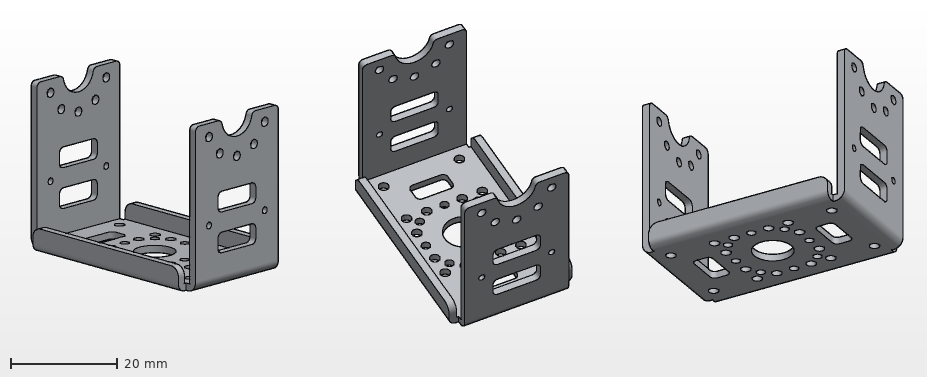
import cadquery as cq

length = 44.0
width = 26.0
height = 32.5

base_thickness = 1.45
wall_thickness = 1.6
arm_bend_radius = 2.0
flange_bend_radius = 1.5

arm_width = 22.0
arm_corner_radius = 1.0
notch_radius = 4.0
notch_lip_radius = 1.0
arm_hole_diameter = 1.75
arm_hole_spread = 7.4
arm_upper_hole_z = 29.85
arm_middle_hole_y = 4.55
arm_middle_hole_z = 26.05
arm_centre_hole_z = 24.65
pin_hole_diameter = 1.28
pin_hole_z = 12.5
arm_window_width = 10.0
arm_window_height = 4.05
arm_window_levels = (8.5, 16.5)
window_corner_radius = 1.0

flange_length = 39.0
flange_height = 4.85
flange_corner_radius = 2.0

centre_hole_diameter = 8.0
mount_hole_diameter = 2.0
small_hole_diameter = 1.75
hole_grid = 8.0
side_hole_offset = 3.75
diagonal_hole_offset = 6.15
end_hole_x = 17.5
base_window_x = 13.35
base_window_length = 4.05
base_window_width = 7.88


def channel(plane, axis, span, rise, bend_radius, depth):
    """U-shaped channel open upward, running along axis, with rounded outer bends and sharp inner corners."""
    outer = cq.Workplane(plane).center(0, rise / 2).rect(span, rise).extrude(depth / 2, both=True)
    outer = outer.faces("<Z").edges("|" + axis).fillet(bend_radius)
    cavity_height = rise - base_thickness
    cavity = (
        cq.Workplane(plane)
        .center(0, base_thickness + cavity_height / 2)
        .rect(span - 2 * wall_thickness, cavity_height)
        .extrude(depth / 2, both=True)
    )
    return outer.cut(cavity)


def mirrored(x, y):
    """The point and its mirror images across both axes, without repeats."""
    return sorted({(sx * x, sy * y) for sx in (1, -1) for sy in (1, -1)})


def cut_through_arms(sketch):
    """Extrude outlines on the YZ plane into a tool that passes through both arms."""
    return sketch.extrude(length, both=True)


arms = channel("XZ", "Y", length, height, arm_bend_radius, arm_width)
arms = arms.edges("|X and >Z").edges("<Y or >Y").fillet(arm_corner_radius)

notch = cut_through_arms(cq.Workplane("YZ").center(0, height).circle(notch_radius))
arms = arms.cut(notch)
lip_zone = cq.selectors.BoxSelector(
    (-length, -arm_width / 4, height - notch_radius / 2),
    (length, arm_width / 4, height + notch_radius / 2),
)
arms = arms.edges("|X").edges(lip_zone).fillet(notch_lip_radius)

flanges = channel("YZ", "X", width, flange_height, flange_bend_radius, flange_length)
flanges = flanges.edges("|Y and >Z").fillet(flange_corner_radius)

bracket = arms.union(flanges)

arm_hole_points = [(0, arm_centre_hole_z)]
for side in (1, -1):
    arm_hole_points.append((side * arm_hole_spread, arm_upper_hole_z))
    arm_hole_points.append((side * arm_middle_hole_y, arm_middle_hole_z))
pin_hole_points = [(side * arm_hole_spread, pin_hole_z) for side in (1, -1)]

arm_holes = cut_through_arms(cq.Workplane("YZ").pushPoints(arm_hole_points).circle(arm_hole_diameter / 2))
pin_holes = cut_through_arms(cq.Workplane("YZ").pushPoints(pin_hole_points).circle(pin_hole_diameter / 2))
arm_windows = cut_through_arms(
    cq.Workplane("YZ")
    .pushPoints([(0, level) for level in arm_window_levels])
    .rect(arm_window_width, arm_window_height)
).edges("|X").fillet(window_corner_radius)

mount_hole_points = (
    mirrored(hole_grid, hole_grid)
    + mirrored(end_hole_x, hole_grid)
    + mirrored(side_hole_offset, hole_grid)
    + mirrored(hole_grid, side_hole_offset)
)
small_hole_points = (
    mirrored(diagonal_hole_offset, diagonal_hole_offset)
    + mirrored(hole_grid, 0)
    + mirrored(0, hole_grid)
)
base_plane = cq.Workplane("XY")
centre_hole = base_plane.circle(centre_hole_diameter / 2).extrude(base_thickness)
mount_holes = base_plane.pushPoints(mount_hole_points).circle(mount_hole_diameter / 2).extrude(base_thickness)
small_holes = base_plane.pushPoints(small_hole_points).circle(small_hole_diameter / 2).extrude(base_thickness)
base_windows = (
    base_plane.pushPoints(mirrored(base_window_x, 0))
    .rect(base_window_length, base_window_width)
    .extrude(base_thickness)
    .edges("|Z")
    .fillet(window_corner_radius)
)

for opening in (arm_holes, pin_holes, arm_windows, centre_hole, mount_holes, small_holes, base_windows):
    bracket = bracket.cut(opening)

result = bracket